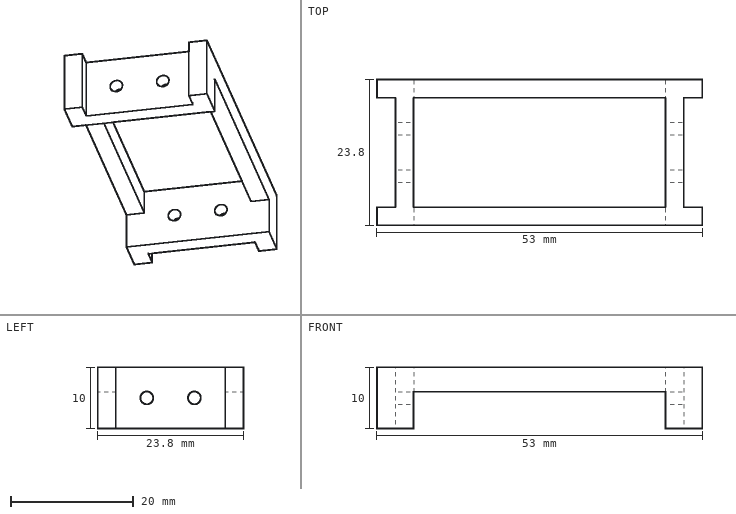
import cadquery as cq

length = 53.0
width = 23.79
height = 10.0

rail_width = 3.0
rail_depth = 4.0
leg_length = 6.0

wall_thickness = 3.0

hole_diameter = 2.05
hole_pitch = 7.75
hole_height = height / 2

inner_length = length - 2 * leg_length
inner_width = width - 2 * rail_width


def box_on_base(size_x, size_y, size_z, center_x=0.0, center_y=0.0, base_z=0.0):
    """Box centred on the given XY point, standing on base_z."""
    box = cq.Workplane("XY").box(size_x, size_y, size_z, centered=(True, True, False))
    return box.translate((center_x, center_y, base_z))


def side_rail(side):
    """Full-length rail with the space between its legs cut away below."""
    center_y = side * (width - rail_width) / 2
    rail = box_on_base(length, rail_width, height, center_y=center_y)
    gap = box_on_base(inner_length, rail_width, height - rail_depth, center_y=center_y)
    return rail.cut(gap)


def cross_wall(end):
    """Full-height wall between the two rails."""
    center_x = end * (inner_length + wall_thickness) / 2
    return box_on_base(wall_thickness, inner_width, height, center_x=center_x)


def wall_holes():
    """Cylinders along X that pass through both cross walls."""
    return (
        cq.Workplane("YZ", origin=(-length / 2, 0, hole_height))
        .pushPoints([(-hole_pitch / 2, 0), (hole_pitch / 2, 0)])
        .circle(hole_diameter / 2)
        .extrude(length)
    )


frame = side_rail(-1).union(side_rail(1))
for end in (-1, 1):
    frame = frame.union(cross_wall(end))

result = frame.cut(wall_holes())